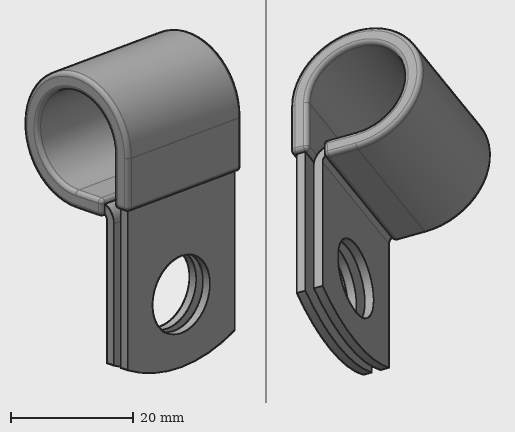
import cadquery as cq
import math

overall_height = 52.3
loop_diameter = 23.7
cushion_width = 27.0
cushion_edge = 0.8
strap_thickness = 1.55
upright_cushion_length = 9.45
lower_cushion_length = 5.9
short_leg_outer_x = 7.95
bend_inner_radius = 1.45
hole_diameter = 13.55
hole_height = 12.75
end_sag = 3.0

outer_radius = loop_diameter / 2
inner_radius = outer_radius - strap_thickness - 2 * cushion_edge
strap_inner_radius = inner_radius + cushion_edge
strap_outer_radius = outer_radius - cushion_edge
strap_width = cushion_width - 2 * cushion_edge
bottom_z = outer_radius - overall_height
bend_outer_radius = bend_inner_radius + strap_thickness
bend_x = short_leg_outer_x - bend_outer_radius
bend_z = -strap_inner_radius - bend_outer_radius
diagonal = math.sqrt(0.5)


def extrude_centred(outline, width):
    """Close an XZ outline and extrude it evenly to both sides of Y = 0."""
    return outline.close().extrude(width / 2, both=True)


def loop_outline(inner, outer, upright_end_z, tail_end_x):
    """Three-quarter ring with a straight upright leg and a straight lower tail."""
    return (
        cq.Workplane("XZ")
        .moveTo(outer, upright_end_z)
        .lineTo(outer, 0)
        .threePointArc((-outer * diagonal, outer * diagonal), (0, -outer))
        .lineTo(tail_end_x, -outer)
        .lineTo(tail_end_x, -inner)
        .lineTo(0, -inner)
        .threePointArc((-inner * diagonal, inner * diagonal), (inner, 0))
        .lineTo(inner, upright_end_z)
    )


def make_cushion():
    outline = loop_outline(inner_radius, outer_radius, -upright_cushion_length, lower_cushion_length)
    body = extrude_centred(outline, cushion_width)
    end_corners = body.edges("|Y").edges(
        cq.selectors.BoxSelector(
            (inner_radius - cushion_edge, -cushion_width, -upright_cushion_length - cushion_edge),
            (outer_radius + cushion_edge, cushion_width, -upright_cushion_length + cushion_edge),
        )
        + cq.selectors.BoxSelector(
            (lower_cushion_length - cushion_edge, -cushion_width, -outer_radius - cushion_edge),
            (lower_cushion_length + cushion_edge, cushion_width, -inner_radius + cushion_edge),
        )
    )
    side_rims = body.faces("<Y or >Y").edges()
    return body.newObject(end_corners.vals() + side_rims.vals()).fillet(cushion_edge)


def make_strap():
    loop = extrude_centred(
        loop_outline(strap_inner_radius, strap_outer_radius, bottom_z, bend_x), strap_width
    )
    short_leg = extrude_centred(
        cq.Workplane("XZ")
        .moveTo(bend_x, -strap_inner_radius)
        .threePointArc(
            (bend_x + bend_outer_radius * diagonal, bend_z + bend_outer_radius * diagonal),
            (short_leg_outer_x, bend_z),
        )
        .lineTo(short_leg_outer_x, bottom_z)
        .lineTo(short_leg_outer_x - strap_thickness, bottom_z)
        .lineTo(short_leg_outer_x - strap_thickness, bend_z)
        .threePointArc(
            (bend_x + bend_inner_radius * diagonal, bend_z + bend_inner_radius * diagonal),
            (bend_x, -strap_outer_radius),
        ),
        strap_width,
    )
    return loop.union(short_leg)


def leg_envelope():
    """Side outline of the strap with its rounded lower end, extruded across all of X."""
    half_width = strap_width / 2
    return (
        cq.Workplane("YZ")
        .moveTo(-half_width, outer_radius)
        .lineTo(-half_width, bottom_z + end_sag)
        .threePointArc((0, bottom_z), (half_width, bottom_z + end_sag))
        .lineTo(half_width, outer_radius)
        .close()
        .extrude(loop_diameter, both=True)
    )


def bolt_hole():
    return (
        cq.Workplane("YZ")
        .center(0, bottom_z + hole_height)
        .circle(hole_diameter / 2)
        .extrude(loop_diameter, both=True)
    )


strap = make_strap().intersect(leg_envelope()).cut(bolt_hole())
result = make_cushion().union(strap)